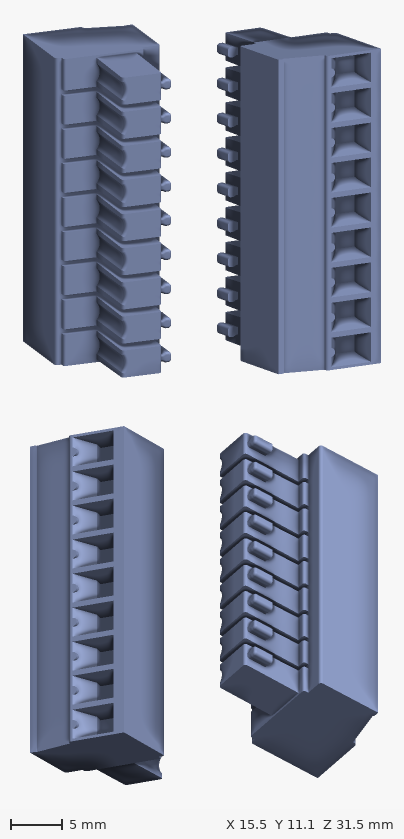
import cadquery as cq


LENGTH = 31.5
ROWS = 9
PITCH = LENGTH / ROWS

HOUSING_DEPTH = 8.32
HOUSING_HEIGHT = 11.1
LID_X = 1.15
LID_BOTTOM = 10.43
SLOPE_TOP_X = 1.3
SLOPE_FOOT_X = 0.47
LEDGE_Y = 6.25
EDGE_RADIUS = 0.3

PAD_X = 8.88
PAD_BOTTOM = 0.65
PAD_TOP = 9.17
PAD_RADIUS = 0.25

TIP_X = 15.5
PLUG_BOTTOM = 4.13
PLUG_TOP = 8.32
ROOT_WIDTH = 2.95
TIP_WIDTH = 2.77
CHANNEL_WIDTH = 1.8
CHANNEL_DIAMETER = 2.8

KEY_START_X = 12.98
KEY_END_X = 15.18
KEY_TOP = 9.48
KEY_WIDTH = 1.07
KEY_STEM_WIDTH = 0.75
KEY_NECK_Y = 8.55
KEY_HEAD_Y = 8.85
KEY_RADIUS = 0.3
KEY_END_RADIUS = 0.25

ENTRY_DEPTH = 2.58
MOUTH_BOTTOM = 1.15
MOUTH_TOP = 5.73
MOUTH_WIDTH = 2.95
RAMP_DEPTH = 1.9
FLOOR_BOTTOM = 1.45
FLOOR_TOP = 4.03
FLOOR_WIDTH = 1.75
PIN_DIAMETER = 0.88

OVERLAP = 0.3


def row_center(row):
    return PITCH * (row + 0.5)


def make_housing():
    """Full-length housing with a sloped face between the lid and the ledge."""
    outline = [
        (0, 0),
        (HOUSING_DEPTH, 0),
        (HOUSING_DEPTH, HOUSING_HEIGHT),
        (LID_X, HOUSING_HEIGHT),
        (LID_X, LID_BOTTOM),
        (SLOPE_TOP_X, LID_BOTTOM),
        (SLOPE_FOOT_X, LEDGE_Y),
        (0, LEDGE_Y),
    ]
    body = cq.Workplane("XY").polyline(outline).close().extrude(LENGTH)
    rounded = [(HOUSING_DEPTH, 0), (HOUSING_DEPTH, HOUSING_HEIGHT), (0, LEDGE_Y)]
    for x, y in rounded:
        corner = cq.selectors.NearestToPointSelector((x, y, LENGTH / 2))
        body = body.edges(corner).fillet(EDGE_RADIUS)
    return body


def make_pad():
    """Full-length pad, split by a slot between each pair of neighbouring plugs."""
    start = HOUSING_DEPTH - OVERLAP
    depth = PAD_X - start
    height = PAD_TOP - PAD_BOTTOM
    pad = (
        cq.Workplane("XY")
        .box(depth, height, LENGTH, centered=False)
        .translate((start, PAD_BOTTOM, 0))
        .edges("|Z and >X")
        .fillet(PAD_RADIUS)
    )
    slot_width = PITCH - ROOT_WIDTH
    slot_depth = PAD_X - HOUSING_DEPTH
    slot = cq.Workplane("XY").box(slot_depth, height, slot_width, centered=(False, False, True))
    for row in range(1, ROWS):
        pad = pad.cut(slot.translate((HOUSING_DEPTH, PAD_BOTTOM, PITCH * row)))
    return pad


def make_key():
    """Coding key centred on Z = 0: narrow stem, flared head, rounded top."""
    half_stem = KEY_STEM_WIDTH / 2
    half_head = KEY_WIDTH / 2
    stem_foot = PLUG_TOP - OVERLAP
    outline = [
        (stem_foot, half_stem),
        (KEY_NECK_Y, half_stem),
        (KEY_HEAD_Y, half_head),
        (KEY_TOP, half_head),
        (KEY_TOP, -half_head),
        (KEY_HEAD_Y, -half_head),
        (KEY_NECK_Y, -half_stem),
        (stem_foot, -half_stem),
    ]
    key = (
        cq.Workplane("YZ", origin=(KEY_START_X, 0, 0))
        .polyline(outline)
        .close()
        .extrude(KEY_END_X - KEY_START_X)
    )
    key = key.edges(">Y and |X").fillet(KEY_RADIUS)
    return key.faces(">X").edges("not <Y").fillet(KEY_END_RADIUS)


def make_plug():
    """One plug centred on Z = 0, with a shallow round channel along its lower side."""
    half_root = ROOT_WIDTH / 2
    half_tip = TIP_WIDTH / 2
    body = (
        cq.Workplane("XZ", origin=(0, PLUG_TOP, 0))
        .polyline([(PAD_X, -half_root), (TIP_X, -half_tip), (TIP_X, half_tip), (PAD_X, half_root)])
        .close()
        .extrude(PLUG_TOP - PLUG_BOTTOM)
    )
    radius = CHANNEL_DIAMETER / 2
    axis_drop = (radius**2 - (CHANNEL_WIDTH / 2) ** 2) ** 0.5
    channel = (
        cq.Workplane("YZ", origin=(PAD_X, PLUG_BOTTOM - axis_drop, 0))
        .circle(radius)
        .extrude(TIP_X - PAD_X)
    )
    body = body.cut(channel)
    body = body.faces(">X").edges("not |Y").fillet(EDGE_RADIUS)
    return body.union(make_key())


def make_entry():
    """Cutter for one wire entry centred on Z = 0.

    The wall on the high-Y side is a ramp that carries a half-round pin flush with the mouth.
    """
    side_profile = [
        (0, MOUTH_BOTTOM),
        (RAMP_DEPTH, FLOOR_BOTTOM),
        (ENTRY_DEPTH, FLOOR_BOTTOM),
        (ENTRY_DEPTH, FLOOR_TOP),
        (RAMP_DEPTH, FLOOR_TOP),
        (0, MOUTH_TOP),
    ]
    side_space = cq.Workplane("XY").polyline(side_profile).close().extrude(MOUTH_WIDTH, both=True)
    width_profile = [
        (0, -MOUTH_WIDTH / 2),
        (ENTRY_DEPTH, -FLOOR_WIDTH / 2),
        (ENTRY_DEPTH, FLOOR_WIDTH / 2),
        (0, MOUTH_WIDTH / 2),
    ]
    width_space = cq.Workplane("XZ").polyline(width_profile).close().extrude(-HOUSING_HEIGHT)
    pin = (
        cq.Workplane("YZ", origin=(0, MOUTH_TOP, 0))
        .circle(PIN_DIAMETER / 2)
        .extrude(RAMP_DEPTH)
    )
    return side_space.intersect(width_space).cut(pin)


result = make_housing().union(make_pad())
plug = make_plug()
entry = make_entry()
for row in range(ROWS):
    lift = (0, 0, row_center(row))
    result = result.union(plug.translate(lift)).cut(entry.translate(lift))